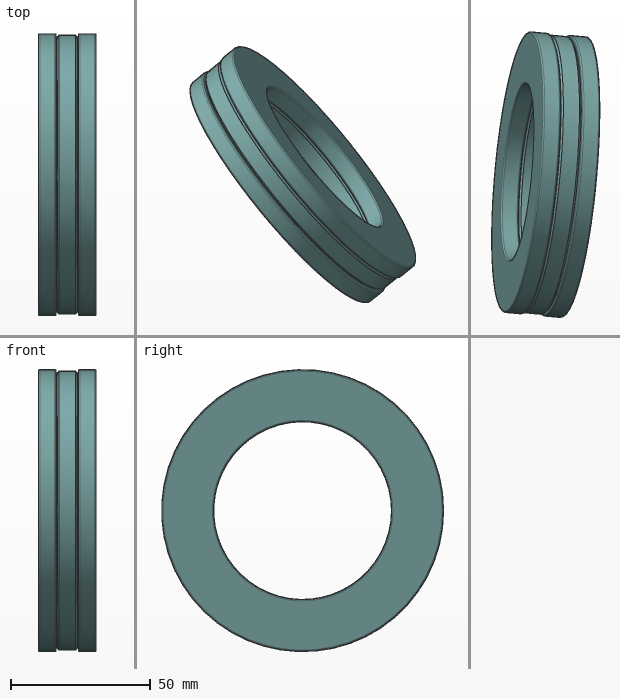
import cadquery as cq

BEARING_WIDTH = 20.7
ROLLER_DIAMETER = 8.0
ROLLER_INNER_RADIUS = 33.5
ROLLER_OUTER_RADIUS = 48.9
ROLLER_ROUNDING = 0.5
ROLLER_COUNT = 4

WASHER_OUTER_DIAMETER = 100.8
WASHER_BORE = 63.5
WASHER_ROUNDING = 0.5
WASHER_THICKNESS = (BEARING_WIDTH - ROLLER_DIAMETER) / 2

CAGE_OUTER_DIAMETER = 99.8
CAGE_BORE = 64.5
CAGE_WIDTH = 7.3
CAGE_CHAMFER = 0.7


def plain_ring(start_x, width, outer_diameter, bore):
    """Square-edged ring around the X axis."""
    return (
        cq.Workplane("YZ", origin=(start_x, 0, 0))
        .circle(outer_diameter / 2)
        .circle(bore / 2)
        .extrude(width)
    )


def make_washer(start_x):
    """Flat washer with all four circular edges rounded."""
    washer = plain_ring(start_x, WASHER_THICKNESS, WASHER_OUTER_DIAMETER, WASHER_BORE)
    return washer.edges().fillet(WASHER_ROUNDING)


def make_roller(angle):
    """Round-edged roller lying radially, turned about the bearing axis from the +Z direction."""
    return (
        cq.Workplane("XY", origin=(0, 0, ROLLER_INNER_RADIUS))
        .circle(ROLLER_DIAMETER / 2)
        .extrude(ROLLER_OUTER_RADIUS - ROLLER_INNER_RADIUS)
        .edges("%CIRCLE")
        .fillet(ROLLER_ROUNDING)
        .rotate((0, 0, 0), (1, 0, 0), angle)
    )


def make_cage(rollers):
    """Chamfered ring between the washers, with a closely fitting pocket for each roller."""
    cage = plain_ring(-CAGE_WIDTH / 2, CAGE_WIDTH, CAGE_OUTER_DIAMETER, CAGE_BORE)
    cage = cage.edges().chamfer(CAGE_CHAMFER)
    for roller in rollers:
        cage = cage.cut(roller)
    return cage


left_washer = make_washer(-BEARING_WIDTH / 2)
right_washer = make_washer(ROLLER_DIAMETER / 2)
rollers = [make_roller(index * 360 / ROLLER_COUNT) for index in range(ROLLER_COUNT)]
cage = make_cage(rollers)

result = cq.Compound.makeCompound(
    [left_washer.val(), right_washer.val(), cage.val(), *[roller.val() for roller in rollers]]
)